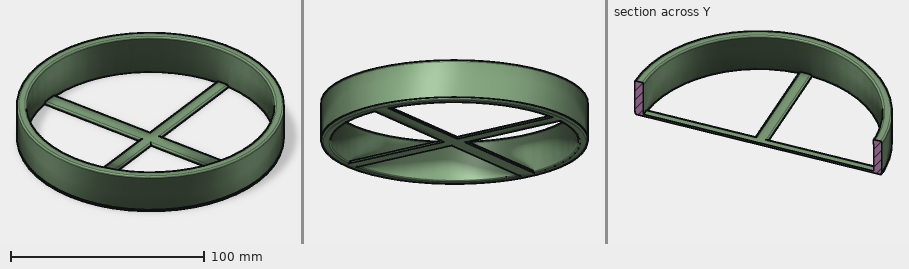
import cadquery as cq

outer_diameter = 138.5
bore_diameter = 128.5
ring_height = 22.0
edge_radius = 1.0

foot_height = 1.5
foot_inset = 0.3
foot_edge_radius = 0.8

bar_thickness = foot_height
bar_along_x_width = 8.7
bar_along_y_width = 7.0

bar_length = (outer_diameter + bore_diameter) / 2


def make_tube(diameter, height):
    """Tube around the Z axis with the common bore, standing on the base plane."""
    return cq.Workplane("XY").circle(diameter / 2).circle(bore_diameter / 2).extrude(height)


def make_wall():
    """Ring wall above the foot, with both upper rims rounded."""
    wall = make_tube(outer_diameter, ring_height - foot_height)
    wall = wall.faces(">Z").edges().fillet(edge_radius)
    return wall.translate((0, 0, foot_height))


def make_foot():
    """Thin ring under the wall, with both lower rims rounded."""
    foot = make_tube(outer_diameter - 2 * foot_inset, foot_height)
    return foot.faces("<Z").edges().fillet(foot_edge_radius)


def make_bar(size_x, size_y):
    """Flat bar centred on the ring axis, resting on the base plane."""
    return cq.Workplane("XY").box(size_x, size_y, bar_thickness, centered=(True, True, False))


def make_cross():
    """Two crossing bars with rounded upper edges, ending inside the foot."""
    cross = make_bar(bar_length, bar_along_x_width).union(make_bar(bar_along_y_width, bar_length))
    return cross.faces(">Z").edges().fillet(edge_radius)


cross_limit = cq.Workplane("XY").circle(bar_length / 2 - edge_radius).extrude(bar_thickness)
cross = make_cross().intersect(cross_limit)

result = make_wall().union(make_foot()).union(cross)